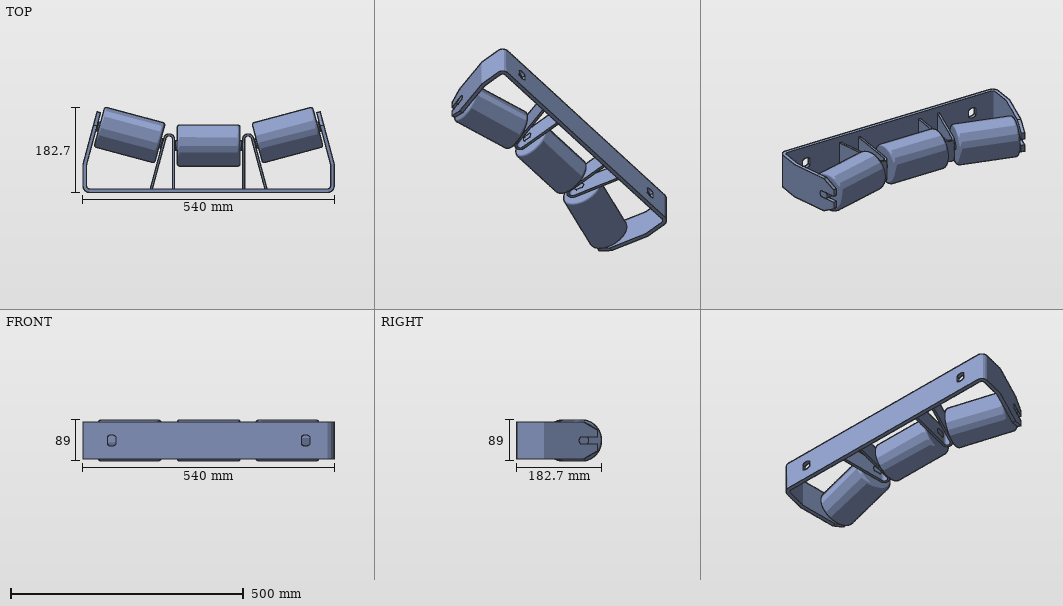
import cadquery as cq
import math

frame_width = 540.0
frame_height = 80.0
frame_thickness = 8.0
frame_bend_radius = 14.5
frame_bend_y = 61.0
arm_tip_y = 174.0
arm_chamfer_length = 29.5
arm_chamfer_height = 17.0
mount_hole_x = 208.5
mount_hole_diameter = 24.5
mount_hole_flat_width = 18.5

tilt = 15.0

roller_diameter = 89.0
roller_length = 135.0
roller_fillet = 5.5
center_roller_y = 101.0
side_roller_x = 169.5
side_roller_y = 123.5

axle_diameter = 21.0
axle_flat_width = 14.5
axle_shoulder = 3.0

divider_height = 50.0
divider_thickness = 5.0
divider_gap = 5.5
divider_bend_radius = 12.0
divider_bend_y = 114.5

tilt_rad = math.radians(tilt)
sin_tilt = math.sin(tilt_rad)
cos_tilt = math.cos(tilt_rad)
half_width = frame_width / 2
arm_tip_x = -half_width + (arm_tip_y - frame_bend_y) * math.tan(tilt_rad)
roller_radius = roller_diameter / 2
divider_face_x = roller_length / 2 + divider_gap
divider_bend_x = -divider_face_x - divider_bend_radius
shoulder_x = roller_length / 2 + axle_shoulder


def distance_from_side_roller(x, y):
    """Distance from the left roller's centre to a point, measured along its tilted axis."""
    return (x + side_roller_x) * cos_tilt - (y - side_roller_y) * sin_tilt


def divider_bend_end(radius):
    """Point where the left divider's bend of the given radius runs into its leaning leg."""
    return (divider_bend_x - radius * cos_tilt, divider_bend_y + radius * sin_tilt)


center_axle_reach = divider_face_x + divider_thickness
arm_axle_reach = -distance_from_side_roller(-half_width, frame_bend_y)
divider_axle_reach = distance_from_side_roller(*divider_bend_end(divider_bend_radius - divider_thickness))


def place_center(body):
    """Move a body from the roller's own axes to the centre roller position."""
    return body.translate((0, center_roller_y, 0))


def place_left(body):
    """Move a body from the roller's own axes to the tilted left roller position."""
    return body.rotate((0, 0, 0), (0, 0, 1), -tilt).translate((-side_roller_x, side_roller_y, 0))


def mirrored(body):
    """Copy of a left-hand body on the right-hand side."""
    return body.mirror("YZ")


def bar_along_x(radius, start_x, end_x):
    return cq.Workplane("YZ", origin=(start_x, 0, 0)).circle(radius).extrude(end_x - start_x)


def make_flatted_axle(left_reach, right_reach):
    """Round bar with a flat above and below along its whole length."""
    bar = bar_along_x(axle_diameter / 2, -left_reach, right_reach)
    flats = cq.Workplane("XY").box(2 * (left_reach + right_reach), axle_diameter, axle_flat_width)
    return bar.intersect(flats)


def make_roller(left_reach, right_reach):
    drum = bar_along_x(roller_radius, -roller_length / 2, roller_length / 2)
    drum = drum.edges("%CIRCLE").fillet(roller_fillet)
    round_axle = bar_along_x(axle_diameter / 2, -shoulder_x, shoulder_x)
    return drum.union(round_axle).union(make_flatted_axle(left_reach, right_reach))


def make_frame_strip():
    inner_tip = (arm_tip_x + frame_thickness * cos_tilt, arm_tip_y - frame_thickness * sin_tilt)
    inner_x = -half_width + frame_thickness
    inner_bend_y = frame_bend_y - frame_thickness * math.tan(tilt_rad / 2)

    outer_corners = [(-half_width, 0), (-half_width, frame_bend_y)]
    inner_corners = [(inner_x, inner_bend_y), (inner_x, frame_thickness)]
    left = outer_corners + [(arm_tip_x, arm_tip_y), inner_tip] + inner_corners
    right = [(-x, y) for x, y in reversed(left)]
    strip = cq.Workplane("XY").polyline(left + right).close().extrude(frame_height / 2, both=True)

    inner_radius = frame_bend_radius - frame_thickness
    for corners, radius in ((outer_corners, frame_bend_radius), (inner_corners, inner_radius)):
        for x, y in corners:
            for side in (1, -1):
                corner_edge = cq.selectors.NearestToPointSelector((side * x, y, 0))
                strip = strip.edges("|Z").edges(corner_edge).fillet(radius)
    return strip


def make_arm_cutter():
    """Axle slot, open at the tip, and the two end chamfers of the left arm."""
    open_slot = (
        cq.Workplane("XY")
        .box(frame_thickness, arm_tip_y, axle_flat_width, centered=(False, False, True))
        .translate((-arm_axle_reach, 0, 0))
    )
    axle_seat = make_flatted_axle(arm_axle_reach, 0)
    cutter = place_left(open_slot.union(axle_seat))

    arm_plane = cq.Plane(origin=(arm_tip_x, arm_tip_y, 0), xDir=(sin_tilt, cos_tilt, 0),
                         normal=(cos_tilt, -sin_tilt, 0))
    half_height = frame_height / 2
    for side in (1, -1):
        corner = (
            cq.Workplane(arm_plane)
            .moveTo(0, side * half_height)
            .lineTo(-arm_chamfer_length, side * half_height)
            .lineTo(0, side * (half_height - arm_chamfer_height))
            .close()
            .extrude(frame_thickness)
        )
        cutter = cutter.union(corner)
    return cutter


def make_mount_hole():
    """Round hole with two upright flats, through the left end of the back plate."""
    hole = cq.Workplane("XZ").circle(mount_hole_diameter / 2).extrude(-frame_thickness)
    flats = cq.Workplane("XY").box(mount_hole_flat_width, 2 * frame_thickness, mount_hole_diameter)
    return hole.intersect(flats).translate((-mount_hole_x, 0, 0))


def make_frame():
    frame = make_frame_strip()
    for cutter in (make_arm_cutter(), make_mount_hole()):
        frame = frame.cut(cutter).cut(mirrored(cutter))
    return frame


def make_divider():
    outer = divider_bend_radius
    inner = outer - divider_thickness

    def leg_foot(radius):
        x, y = divider_bend_end(radius)
        return (x - (y - frame_thickness) * math.tan(tilt_rad), frame_thickness)

    divider = (
        cq.Workplane("XY")
        .moveTo(divider_bend_x + outer, frame_thickness)
        .lineTo(divider_bend_x + outer, divider_bend_y)
        .threePointArc((divider_bend_x, divider_bend_y + outer), divider_bend_end(outer))
        .lineTo(*leg_foot(outer))
        .lineTo(*leg_foot(inner))
        .lineTo(*divider_bend_end(inner))
        .threePointArc((divider_bend_x, divider_bend_y + inner), (divider_bend_x + inner, divider_bend_y))
        .lineTo(divider_bend_x + inner, frame_thickness)
        .close()
        .extrude(divider_height / 2, both=True)
    )
    center_seat = place_center(make_flatted_axle(center_axle_reach, 0))
    side_seat = place_left(make_flatted_axle(0, divider_axle_reach))
    return divider.cut(center_seat).cut(side_seat)


frame = make_frame()
center_roller = place_center(make_roller(center_axle_reach, center_axle_reach))
left_divider = make_divider()
left_roller = place_left(make_roller(arm_axle_reach, divider_axle_reach))

bodies = [frame.val(), center_roller.val()]
for left_body in (left_divider, left_roller):
    bodies.append(left_body.val())
    bodies.append(mirrored(left_body).val())

result = cq.Compound.makeCompound(bodies)